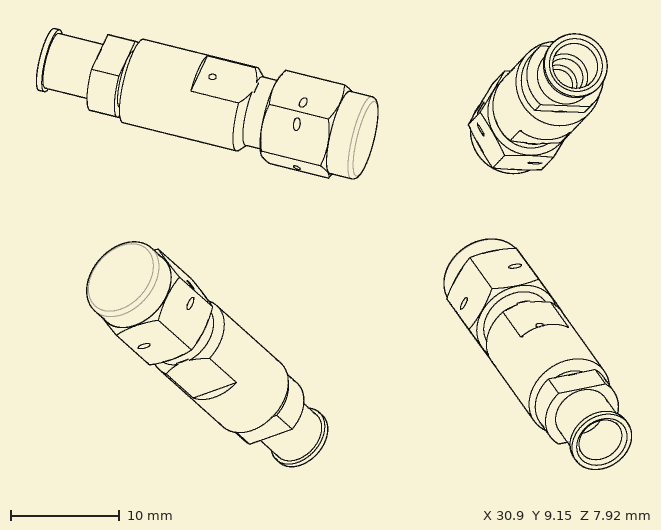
import cadquery as cq
import math

LENGTH = 30.95

lip_end = 0.53
lip_radius = 2.95
ferrule_end = 5.15
ferrule_radius = 2.6

collar_end = 7.8
collar_radius = 3.6
collar_flat_height = 2.75

rear_neck_end = 8.42
rear_neck_radius = 2.7

body_radius = 3.95
body_taper_start = 19.43
front_neck_radius = 3.25
body_taper_end = body_taper_start + body_radius - front_neck_radius
body_flat_start = 14.8
body_flat_height = 3.2
body_flat_end = 20.35
body_hole_x = 16.1
body_hole_diameter = 0.68
body_hole_floor_radius = 2.1

nut_start = 22.03
nut_end = 28.5
nut_across_flats = 7.92
nut_face_radius = 3.93
nut_chamfer_angle = 30.0
wire_hole_diameter = 0.62
wire_hole_offset = 3.95
sleeve_radius = 3.9
sleeve_fillet = 0.37

bore_mouth_radius = 2.48
bore_radius = 2.1
bore_depth = 5.15
inner_bore_radius = 1.73
inner_bore_depth = 8.42
bore_floor_radius = 1.4


def revolve_about_x(points):
    """Revolve a closed outline of (x, radius) points about the X axis."""
    return cq.Workplane("XY").polyline(points).close().revolve(360, (0, 0, 0), (1, 0, 0))


def beyond_flats(start, end, height, radius):
    """Material lying beyond +/-height in Z between two X stations."""
    slab = cq.Workplane("XY").box(end - start, 2 * radius, radius, centered=(False, True, False))
    upper = slab.translate((start, 0, height))
    lower = slab.translate((start, 0, -height - radius))
    return upper.union(lower)


def turned_body():
    """All the round outer steps from the cable end up to the nut."""
    return revolve_about_x([
        (0, 0),
        (0, lip_radius),
        (lip_end, lip_radius),
        (lip_end, ferrule_radius),
        (ferrule_end, ferrule_radius),
        (ferrule_end, collar_radius),
        (collar_end, collar_radius),
        (collar_end, rear_neck_radius),
        (rear_neck_end, rear_neck_radius),
        (rear_neck_end, body_radius),
        (body_taper_start, body_radius),
        (body_taper_end, front_neck_radius),
        (nut_start, front_neck_radius),
        (nut_start, 0),
    ])


def coupling_nut():
    """Hexagon with flats facing +/-Z, chamfered at both ends down to a round face."""
    corner_radius = nut_across_flats / 2 / math.cos(math.radians(30))
    chamfer_length = (corner_radius - nut_face_radius) * math.tan(math.radians(nut_chamfer_angle))

    hexagon = (
        cq.Workplane("YZ")
        .workplane(offset=nut_start)
        .polygon(6, 2 * corner_radius)
        .extrude(nut_end - nut_start)
    )
    chamfer_envelope = revolve_about_x([
        (nut_start, 0),
        (nut_start, nut_face_radius),
        (nut_start + chamfer_length, corner_radius),
        (nut_end - chamfer_length, corner_radius),
        (nut_end, nut_face_radius),
        (nut_end, 0),
    ])
    return hexagon.intersect(chamfer_envelope)


def mating_sleeve():
    """Round sleeve from the nut to the mating end, with a rounded outer rim."""
    return (
        cq.Workplane("YZ")
        .workplane(offset=nut_end)
        .circle(sleeve_radius)
        .extrude(LENGTH - nut_end)
        .faces(">X")
        .edges()
        .fillet(sleeve_fillet)
    )


def wire_holes():
    """Lock-wire holes cutting across every other corner of the nut."""
    upright_hole = (
        cq.Workplane("XY")
        .center((nut_start + nut_end) / 2, wire_hole_offset)
        .circle(wire_hole_diameter / 2)
        .extrude(nut_across_flats / 2, both=True)
    )
    holes = upright_hole
    for turn in (120, 240):
        holes = holes.union(upright_hole.rotate((0, 0, 0), (1, 0, 0), turn))
    return holes


def cable_bore():
    """Coaxial blind bore with 45 degree cones at its mouth, its step and its floor."""
    mouth_cone = bore_mouth_radius - bore_radius
    step_cone = bore_radius - inner_bore_radius
    floor_cone = inner_bore_radius - bore_floor_radius
    return revolve_about_x([
        (0, 0),
        (0, bore_mouth_radius),
        (mouth_cone, bore_radius),
        (bore_depth, bore_radius),
        (bore_depth + step_cone, inner_bore_radius),
        (inner_bore_depth, inner_bore_radius),
        (inner_bore_depth + floor_cone, bore_floor_radius),
        (inner_bore_depth + floor_cone, 0),
    ])


def body_hole():
    """Radial hole in the upper flat, ending on a cylindrical floor coaxial with the body."""
    drill = (
        cq.Workplane("XY")
        .center(body_hole_x, 0)
        .circle(body_hole_diameter / 2)
        .extrude(body_radius)
    )
    core = cq.Workplane("YZ").circle(body_hole_floor_radius).extrude(LENGTH)
    return drill.cut(core)


result = (
    turned_body()
    .cut(beyond_flats(ferrule_end, collar_end, collar_flat_height, collar_radius))
    .cut(beyond_flats(body_flat_start, body_flat_end, body_flat_height, body_radius))
    .cut(cable_bore())
    .cut(body_hole())
    .union(coupling_nut())
    .union(mating_sleeve())
    .cut(wire_holes())
)